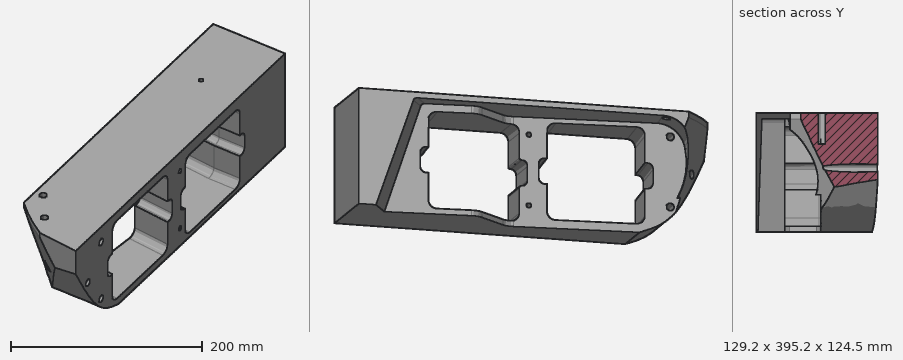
import cadquery as cq
import math

size_x = 129.15
size_y = 395.22
height = 124.52

bar_width = 90.0
tilt_deg = 5.72
tilt = math.radians(tilt_deg)
across = (math.cos(tilt), math.sin(tilt), 0)
along = (-math.sin(tilt), math.cos(tilt), 0)
rear_left_y = size_y - bar_width * math.sin(tilt)
rear_right_x = bar_width * math.cos(tilt)
margin = 20.0

rim_height = 6.3
nose_flat_end_x = 81.0
nose_arc_start_y = 28.9
nose_radius = 220.0
nose_draft_deg = 14.8

slope_curve = [(0.0, 93.5), (28.1, 42.7), (52.8, 13.4), (80.6, 0.0)]
slope_tangents = [(0.47, -0.88), (0.95, -0.31)]

shallow_floor_x = 29.7
deep_floor_x = 67.5
step_start_y = 261.2
step_radius = 17.0
step_angle = math.radians(45)
recess_top_z = height - rim_height
recess_wall_outer_y = 367.8
recess_wall_inner_y = 353.5
recess_wall_lean = 0.334
recess_wall_radius = 4.0
recess_end_y = 25.3
recess_end_arc_z = 77.0
recess_end_arc_radius = 80.0
recess_end_corner_radius = 30.0
recess_opening_z = 38.8

window_size = 104.0
window_radius = 8.9
notch_length = 121.4
notch_height = 27.6
notch_radius = 6.2
notch_root_radius = 2.4
rear_window = (254.6, 58.1)
front_window = (121.3, 61.2)
window_turn_x = 65.3

small_hole_diameter = 5.0
small_hole_y = 192.7
small_hole_z = (23.5, 99.6)
large_hole_diameter = 8.0
large_hole_y = 42.3
large_hole_z = (28.8, 104.3)
nose_hole = (75.7, 17.9, 66.9)
nose_hole_diameter = 8.0

rim_hole = (43.7, 51.2)
rim_hole_diameter = 8.0
nose_pin_hole = (68.4, 23.0)
nose_pin_diameter = 8.0
nose_pin_bottom_z = 92.0
rear_pin_hole = (49.7, 305.0)
rear_pin_diameter = 5.0
rear_pin_bottom_z = 112.0


def left_face_x(y):
    return (rear_left_y - y) * math.tan(tilt)


def across_plane(origin):
    return cq.Plane(origin=origin, xDir=along, normal=across)


def bar():
    corners = [
        (0, rear_left_y),
        (rear_right_x, size_y),
        (size_x, 0),
        (left_face_x(0), 0),
    ]
    return cq.Workplane("XY").polyline(corners).close().extrude(height)


def nose_flank_cutter():
    """Everything ahead of the nose that lies outside a cone narrowing downward under a vertical rim."""
    start = cq.Vector(left_face_x(nose_arc_start_y), nose_arc_start_y)
    end = cq.Vector(nose_flat_end_x, 0)
    chord = end - start
    rise = math.sqrt(nose_radius**2 - (chord.Length / 2) ** 2)
    inward = cq.Vector(-chord.y, chord.x).normalized()
    centre = (start + end) * 0.5 + inward * rise
    bottom_radius = nose_radius - recess_top_z * math.tan(math.radians(nose_draft_deg))
    cone = cq.Workplane(cq.Solid.makeCone(bottom_radius, nose_radius, recess_top_z))
    rim = cq.Workplane("XY", origin=(0, 0, recess_top_z)).circle(nose_radius).extrude(rim_height)
    disc = cone.union(rim).translate((centre.x, centre.y, 0))
    block = cq.Workplane("XY").box(size_x, centre.y / 2, height, centered=False)
    return block.cut(disc)


def nose_slope_cutter():
    """Removes the lower front corner along a profile drawn square to the bar."""
    plane = across_plane((size_x, 0, 0))
    tip_z = slope_curve[0][1]
    profile = (
        cq.Workplane(plane)
        .moveTo(*slope_curve[0])
        .spline(slope_curve[1:], tangents=slope_tangents, includeCurrent=True)
        .lineTo(slope_curve[-1][0], -margin)
        .lineTo(-margin, -margin)
        .lineTo(-margin, tip_z)
        .close()
    )
    return profile.extrude(2 * size_x, both=True)


def recess_plan():
    """Plan of the recess: shallow floor, arc, 45 degree ramp, arc, deep floor."""
    arc_y = step_radius * math.sin(step_angle)
    arc_x = step_radius - arc_y
    half_y = step_radius * math.sin(step_angle / 2)
    half_x = step_radius * (1 - math.cos(step_angle / 2))
    ramp = deep_floor_x - shallow_floor_x - 2 * arc_x
    ramp_start = (shallow_floor_x + arc_x, step_start_y - arc_y)
    ramp_end = (ramp_start[0] + ramp, ramp_start[1] - ramp)
    deep_start_y = ramp_end[1] - arc_y
    return (
        cq.Workplane("XY", origin=(0, 0, -margin))
        .moveTo(-margin, size_y)
        .lineTo(shallow_floor_x, size_y)
        .lineTo(shallow_floor_x, step_start_y)
        .threePointArc((shallow_floor_x + half_x, step_start_y - half_y), ramp_start)
        .lineTo(*ramp_end)
        .threePointArc((deep_floor_x - half_x, deep_start_y + half_y), (deep_floor_x, deep_start_y))
        .lineTo(deep_floor_x, -margin)
        .lineTo(-margin, -margin)
        .close()
        .extrude(recess_top_z + margin)
    )


def recess_end_outline():
    """Side outline limiting the recess: rounded at the nose, open below."""

    def end_y(z):
        rise = z - recess_end_arc_z
        return recess_end_y + recess_end_arc_radius - math.sqrt(recess_end_arc_radius**2 - rise**2)

    outline = (
        cq.Workplane("YZ", origin=(-margin, 0, 0))
        .moveTo(size_y + margin, recess_top_z)
        .lineTo(end_y(recess_top_z), recess_top_z)
        .threePointArc((recess_end_y, recess_end_arc_z), (end_y(recess_opening_z), recess_opening_z))
        .lineTo(-margin, recess_opening_z)
        .lineTo(-margin, -margin)
        .lineTo(size_y + margin, -margin)
        .close()
        .extrude(size_x)
    )
    corner = cq.selectors.NearestToPointSelector((size_x / 2 - margin, end_y(recess_top_z), recess_top_z))
    return outline.edges("|X").edges(corner).fillet(recess_end_corner_radius)


def recess_wall_side():
    """The space ahead of the leaning rear wall of the recess."""
    outer_x = left_face_x(recess_wall_outer_y)
    slant = (recess_wall_outer_y - recess_wall_inner_y) / (shallow_floor_x - outer_x)

    def wall_y(x):
        return recess_wall_outer_y - (x - outer_x) * slant

    corners = [
        cq.Vector(-margin, wall_y(-margin), 0),
        cq.Vector(size_x, wall_y(size_x), 0),
        cq.Vector(size_x, -size_y, 0),
        cq.Vector(-margin, -size_y, 0),
    ]
    base = cq.Wire.makePolygon(corners, close=True)
    lean = cq.Vector(0, -recess_wall_lean, 1)
    return cq.Workplane(cq.Solid.extrudeLinear(base, [], lean * height))


def recess():
    space = recess_plan().intersect(recess_wall_side())
    wall_top_y = recess_wall_outer_y - recess_wall_lean * recess_top_z
    wall_edge = cq.selectors.NearestToPointSelector((0, wall_top_y, recess_top_z))
    space = space.edges(wall_edge).fillet(recess_wall_radius)
    return space.intersect(recess_end_outline())


def window_prism(centre):
    """Square with rounded corners, extended both ways by a narrower notch, running along X."""
    plane = cq.Plane(origin=(0, *centre), xDir=(0, 1, 0), normal=(1, 0, 0))

    def rounded_bar(length, width, radius):
        return cq.Workplane(plane).rect(length, width).extrude(size_x).edges("|X").fillet(radius)

    body = rounded_bar(window_size, window_size, window_radius)
    return body.union(rounded_bar(notch_length, notch_height, notch_radius))


def turned_window(centre):
    """Runs along X up to the turn, then leans square to the bar with its front notch roots rounded."""
    straight = window_prism(centre)
    front = straight.intersect(cq.Workplane("XY").box(window_turn_x, size_y, height, centered=False))
    root_y = centre[0] - window_size / 2
    softened = straight
    for root_z in (centre[1] - notch_height / 2, centre[1] + notch_height / 2):
        root = cq.selectors.NearestToPointSelector((size_x / 2, root_y, root_z))
        softened = softened.edges("|X").edges(root).fillet(notch_root_radius)
    outline = softened.faces("<X").wires().val().moved(cq.Location(cq.Vector(window_turn_x, 0, 0)))
    leaning = cq.Solid.extrudeLinear(outline, [], cq.Vector(*across) * size_x)
    return front.union(cq.Workplane(leaning))


def cross_hole(point, diameter):
    plane = across_plane(point)
    return cq.Workplane(plane).circle(diameter / 2).extrude(2 * size_x, both=True)


def vertical_hole(position, diameter, bottom_z):
    hole = cq.Workplane("XY", origin=(*position, bottom_z)).circle(diameter / 2)
    return hole.extrude(height + margin - bottom_z)


result = bar().cut(nose_flank_cutter()).cut(nose_slope_cutter()).cut(recess())
result = result.cut(turned_window(rear_window)).cut(window_prism(front_window))

for z in small_hole_z:
    result = result.cut(cross_hole((deep_floor_x, small_hole_y, z), small_hole_diameter))
for z in large_hole_z:
    result = result.cut(cross_hole((deep_floor_x, large_hole_y, z), large_hole_diameter))
result = result.cut(cross_hole(nose_hole, nose_hole_diameter))

result = result.cut(vertical_hole(rim_hole, rim_hole_diameter, recess_top_z - margin))
result = result.cut(vertical_hole(nose_pin_hole, nose_pin_diameter, nose_pin_bottom_z))
result = result.cut(vertical_hole(rear_pin_hole, rear_pin_diameter, rear_pin_bottom_z))